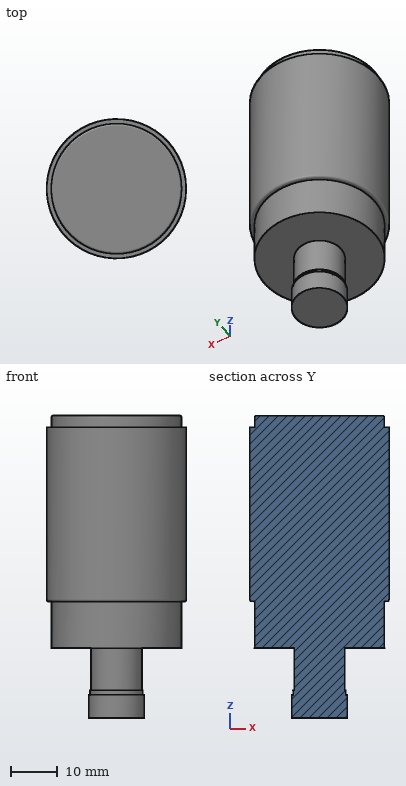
import cadquery as cq

PLUG_DIAMETER = 12.0
PLUG_HEIGHT = 5.0
STEP_DIAMETER = 11.4
STEP_HEIGHT = 1.0
NECK_DIAMETER = 11.0
NECK_HEIGHT = 9.0

CORE_DIAMETER = 28.0
BASE_HEIGHT = 10.0
SLEEVE_DIAMETER = 30.0
SLEEVE_HEIGHT = 37.5
CAP_HEIGHT = 2.5

EDGE_RADIUS = 0.5

STEP_BOTTOM = PLUG_HEIGHT
NECK_BOTTOM = STEP_BOTTOM + STEP_HEIGHT
BASE_BOTTOM = NECK_BOTTOM + NECK_HEIGHT
SLEEVE_BOTTOM = BASE_BOTTOM + BASE_HEIGHT
CAP_BOTTOM = SLEEVE_BOTTOM + SLEEVE_HEIGHT


def cylinder(diameter, bottom, height):
    """Upright cylinder on the Z axis, standing at the given level."""
    return cq.Workplane("XY").workplane(offset=bottom).circle(diameter / 2).extrude(height)


def make_plug():
    """Stepped plug with its neck."""
    plug = cylinder(PLUG_DIAMETER, 0, PLUG_HEIGHT)
    step = cylinder(STEP_DIAMETER, STEP_BOTTOM, STEP_HEIGHT)
    neck = cylinder(NECK_DIAMETER, NECK_BOTTOM, NECK_HEIGHT)
    return plug.union(step).union(neck)


def make_housing():
    """Base, sleeve with a rounded bottom rim, and cap with a rounded top rim."""
    base = cylinder(CORE_DIAMETER, BASE_BOTTOM, BASE_HEIGHT)
    sleeve = cylinder(SLEEVE_DIAMETER, SLEEVE_BOTTOM, SLEEVE_HEIGHT)
    sleeve = sleeve.faces("<Z").edges().fillet(EDGE_RADIUS)
    cap = cylinder(CORE_DIAMETER, CAP_BOTTOM, CAP_HEIGHT)
    cap = cap.faces(">Z").edges().fillet(EDGE_RADIUS)
    return base.union(sleeve).union(cap)


result = make_plug().union(make_housing())